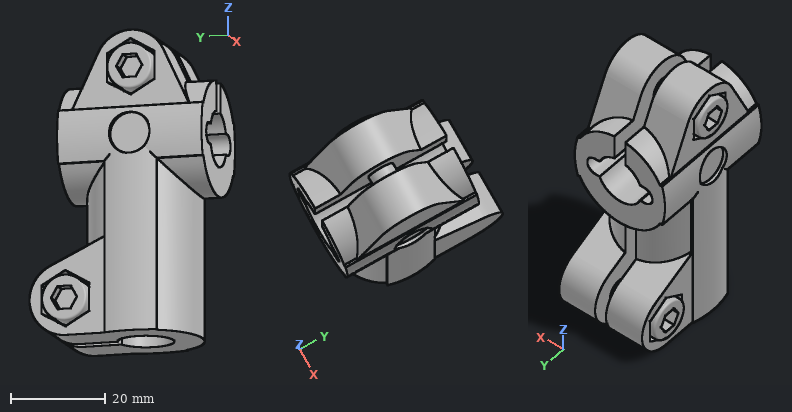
import cadquery as cq
import math

total_height = 65.5
body_diameter = 25.0
body_radius = body_diameter / 2

band_half_width = 5.75
band_radius = 20.95

ear_thickness = 23.0
ear_radius = 8.0
ear_foot = 12.95
screw_offset = 14.5

bore_radius = 6.0
slit_width = 3.0
keyway_length = 18.0
keyway_width = 4.5
recess_diameter = 9.0
recess_depth = (body_diameter - ear_thickness) / 2

shank_diameter = 6.0
head_diameter = 10.0
head_height = 6.0
head_fillet = 0.5
socket_flats = 5.0
socket_depth = 3.0
pocket_flats = 10.55

cross_half_length = 32.1 / 2
cross_axis_z = total_height - screw_offset - ear_radius
upright_bore_depth = cross_axis_z - body_radius



def hex_diameter(flats):
    """Corner-to-corner size of a hexagon with the given width across flats."""
    return flats / math.cos(math.pi / 6)


def extrude_along_y(sketch, start, end):
    """Extrude closed XZ wires from y = start to y = end."""
    return sketch.extrude(start - end).translate((0, start, 0))


def flank_tangent_point(foot):
    """Distance and height where a straight flank from the foot meets the round ear top."""
    rise = screw_offset - band_half_width
    angle = math.acos(ear_radius / math.hypot(foot, rise)) - math.atan2(rise, foot)
    return ear_radius * math.cos(angle), screw_offset + ear_radius * math.sin(angle)


def clamp_body(start, end):
    """Solid tube with its side bands and ear."""
    tube = extrude_along_y(cq.Workplane("XZ").circle(body_radius), start, end)

    band_sag = band_radius - math.sqrt(band_radius**2 - band_half_width**2)
    band_edge = body_radius - band_sag
    bands = extrude_along_y(
        cq.Workplane("XZ")
        .moveTo(band_edge, -band_half_width)
        .threePointArc((body_radius, 0), (band_edge, band_half_width))
        .lineTo(-band_edge, band_half_width)
        .threePointArc((-body_radius, 0), (-band_edge, -band_half_width))
        .close(),
        start,
        end,
    )

    near_foot = min(ear_foot, -start)
    far_foot = min(ear_foot, end)
    near_y, near_z = flank_tangent_point(near_foot)
    far_y, far_z = flank_tangent_point(far_foot)
    ear = (
        cq.Workplane("YZ")
        .moveTo(-near_foot, band_half_width)
        .lineTo(-near_y, near_z)
        .threePointArc((0, screw_offset + ear_radius), (far_y, far_z))
        .lineTo(far_foot, band_half_width)
        .close()
        .extrude(ear_thickness / 2, both=True)
    )
    return tube.union(bands).union(ear)


def clamp_cavity(start, end):
    """Round bore and the clamping slit that opens it through the ear."""
    bore = extrude_along_y(cq.Workplane("XZ").circle(bore_radius), start, end)
    slit_height = screw_offset + ear_radius
    slit_sketch = cq.Workplane("XZ").center(0, slit_height / 2).rect(slit_width, slit_height)
    return bore.union(extrude_along_y(slit_sketch, start, end))


def place_cross(shape):
    return shape.translate((0, 0, cross_axis_z))


def place_upright(shape):
    """Turn the ear to +Y and stand the clamp so its end face is at z = 0."""
    return shape.rotate((0, 0, 0), (1, 0, 0), -90).translate((0, 0, ear_radius))


def plane_at(x, y, z):
    """Sketch plane facing +X."""
    return cq.Workplane("YZ", origin=(x, y, z))


def add_screw(body, y, z):
    """Sink a socket head screw into the -X lug and carry its shank into the +X lug."""
    head_face = -body_radius
    seat = head_face + head_height
    lug_face = -ear_thickness / 2
    pocket = (
        plane_at(lug_face, y, z)
        .transformed(rotate=(0, 0, 90))
        .polygon(6, hex_diameter(pocket_flats))
        .extrude(seat - lug_face)
    )
    head = plane_at(head_face, y, z).circle(head_diameter / 2).extrude(head_height)
    head = head.faces("<X").edges().fillet(head_fillet)
    socket = plane_at(head_face, y, z).polygon(6, hex_diameter(socket_flats)).extrude(socket_depth)
    shank = plane_at(seat, y, z).circle(shank_diameter / 2).extrude(-lug_face - seat)
    return body.cut(pocket).union(head.cut(socket)).union(shank)


upright_start = ear_radius - cross_axis_z
cross = place_cross(clamp_body(-cross_half_length, cross_half_length))
upright = place_upright(clamp_body(upright_start, ear_radius))
result = cross.union(upright)

result = result.cut(place_cross(clamp_cavity(-cross_half_length, cross_half_length)))
result = result.cut(place_upright(clamp_cavity(ear_radius - upright_bore_depth, ear_radius)))

keyways = cq.Workplane("XZ").slot2D(keyway_length, keyway_width)
result = result.cut(place_cross(extrude_along_y(keyways, -cross_half_length, cross_half_length)))

for side in (-1, 1):
    recess_floor = side * (body_radius - recess_depth)
    recess_sketch = plane_at(recess_floor, 0, cross_axis_z).circle(recess_diameter / 2)
    result = result.cut(recess_sketch.extrude(side * recess_depth))

result = add_screw(result, 0, cross_axis_z + screw_offset)
result = add_screw(result, screw_offset, ear_radius)